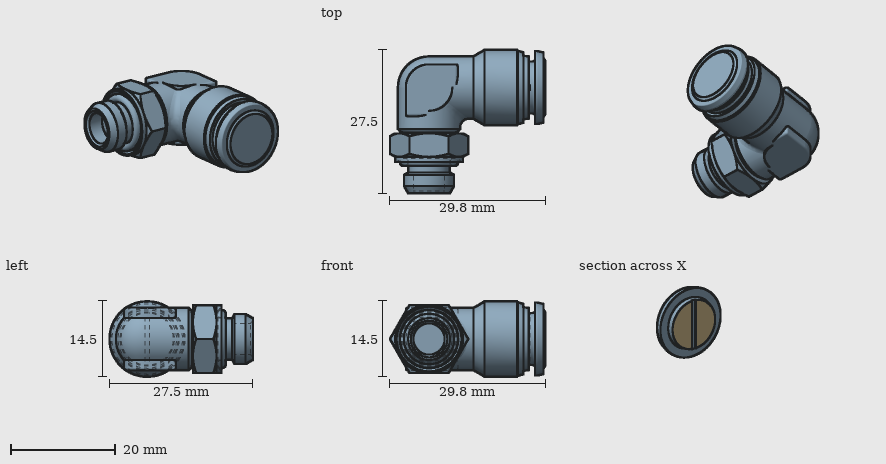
import cadquery as cq
import math


body_radius = 6.0
inner_corner_fillet = 1.5
fillet_zone_height = 11.0
neck_radius = 5.1
body_foot_radius = 5.4
body_foot_start = 7.9
body_foot_end = 8.55

pad_half_width = 4.45
pad_reach = 5.5
pad_edge_fillet = 0.45

hex_sides = 6
hex_across_flats = 13.0
hex_start = 8.75
hex_end = 13.25
hex_chamfer_angle = 30.0
flange_radius = hex_across_flats / 2
flange_end = 14.25
recess_radius = 6.2
recess_floor_radius = 5.5
recess_depth = 0.7
seal_section_radius = 0.8

relief_radius = 4.0
thread_radius = 4.82
thread_start = 16.25
thread_full = 16.7
thread_tip_start = 18.8
stud_end = 20.25
stud_tip_radius = 4.0
bore_radius = 3.0
bore_mouth_radius = 3.5
bore_mouth_depth = 0.5
bore_depth = 3.5

sleeve_radius = 7.25
sleeve_cone_start = 8.5
sleeve_cone_end = 10.65
sleeve_end = 16.8
cap_start = 17.0
cap_end = 18.05
cap_start_radius = 7.05
cap_end_radius = 6.75
ring_end = 19.1
ring_start_radius = 6.1
ring_end_radius = 6.0
ring_end_chamfer = 0.1

collar_neck_radius = 5.0
collar_cove = 0.45
collar_cove_rise = 0.2
collar_start = 20.25
collar_full_end = 20.8
collar_rim_end = 21.9
collar_rim_round = 0.15
collar_radius = 7.0
collar_rim_radius = 6.77
collar_cone_radius = 5.6
collar_end = 22.3
slit_width = 0.85
slit_end = 19.3


def turned_on_x(outline):
    """Close an (x, radius) outline and revolve it about the X axis."""
    return outline.close().revolve(360, (0, 0, 0), (1, 0, 0))


def turned_on_y(stations):
    """Revolve (radius, distance) stations about the Y axis, distance counted toward -Y."""
    points = [(radius, -distance) for radius, distance in stations]
    return cq.Workplane("XY").polyline(points).close().revolve(360, (0, 0, 0), (0, 1, 0))


def make_elbow():
    tube_leg = cq.Workplane("YZ").circle(body_radius).extrude(sleeve_cone_start)
    stud_leg = cq.Workplane("XZ").circle(body_radius).extrude(body_foot_start)
    legs = tube_leg.union(stud_leg)

    slice_size = 4 * body_radius
    fillet_zone = cq.Workplane("XY").box(slice_size, slice_size, fillet_zone_height)
    meeting_edges = cq.selectors.BoxSelector(
        (body_radius / 2, -body_radius / 2, -body_radius),
        (body_radius, -body_radius, body_radius),
    )
    rounded = legs.intersect(fillet_zone).edges(meeting_edges).fillet(inner_corner_fillet)

    ball = cq.Workplane("XY").sphere(body_radius)
    return legs.union(rounded).union(ball)


def make_pads():
    """One block through the elbow whose two ends are the flat pads."""
    diagonal = pad_half_width * math.sqrt(0.5)
    block = (
        cq.Workplane("XY", origin=(0, 0, -body_radius))
        .moveTo(-pad_half_width, 0)
        .threePointArc((-diagonal, diagonal), (0, pad_half_width))
        .lineTo(pad_reach, pad_half_width)
        .lineTo(pad_reach, 0)
        .lineTo(pad_half_width, 0)
        .threePointArc((diagonal, -diagonal), (0, -pad_half_width))
        .lineTo(0, -pad_reach)
        .lineTo(-pad_half_width, -pad_reach)
        .close()
        .extrude(2 * body_radius)
    )
    for corner in [(pad_reach, pad_half_width, 0), (-pad_half_width, -pad_reach, 0)]:
        block = block.edges(cq.selectors.NearestToPointSelector(corner)).fillet(pad_edge_fillet)
    for z in (-body_radius, body_radius):
        rim = cq.selectors.NearestToPointSelector((-diagonal, diagonal, z))
        block = block.edges(rim).fillet(pad_edge_fillet)
    return block


def make_neck():
    return turned_on_y([
        (0, body_foot_start),
        (body_radius, body_foot_start),
        (body_foot_radius, body_foot_end),
        (neck_radius, body_foot_end),
        (neck_radius, hex_start),
        (0, hex_start),
    ])


def make_hex():
    across_corners = hex_across_flats / math.cos(math.radians(180 / hex_sides))
    corner_radius = across_corners / 2
    flat_radius = hex_across_flats / 2
    chamfer = (corner_radius - flat_radius) * math.tan(math.radians(hex_chamfer_angle))
    prism = (
        cq.Workplane("XZ", origin=(0, -hex_start, 0))
        .polygon(hex_sides, across_corners)
        .extrude(hex_end - hex_start)
    )
    envelope = turned_on_y([
        (0, hex_start),
        (flat_radius, hex_start),
        (corner_radius, hex_start + chamfer),
        (corner_radius, hex_end - chamfer),
        (flat_radius, hex_end),
        (0, hex_end),
    ])
    return prism.intersect(envelope)


def make_stud():
    flange_and_thread = turned_on_y([
        (0, hex_end),
        (flange_radius, hex_end),
        (flange_radius, flange_end),
        (recess_radius, flange_end),
        (recess_floor_radius, flange_end - recess_depth),
        (relief_radius, flange_end - recess_depth),
        (relief_radius, thread_start),
        (thread_radius, thread_full),
        (thread_radius, thread_tip_start),
        (stud_tip_radius, stud_end),
        (0, stud_end),
    ])
    seal = cq.Workplane(
        cq.Solid.makeTorus(
            relief_radius + seal_section_radius,
            seal_section_radius,
            cq.Vector(0, -flange_end, 0),
            cq.Vector(0, 1, 0),
        )
    )
    return flange_and_thread.union(seal)


def make_bore():
    return turned_on_y([
        (0, stud_end),
        (bore_mouth_radius, stud_end),
        (bore_radius, stud_end - bore_mouth_depth),
        (bore_radius, stud_end - bore_depth),
        (0, stud_end - bore_depth),
    ])


def make_sleeve():
    return turned_on_x(
        cq.Workplane("XY").polyline([
            (sleeve_cone_start, 0),
            (sleeve_cone_start, body_radius),
            (sleeve_cone_end, sleeve_radius),
            (sleeve_end, sleeve_radius),
            (cap_start, cap_start_radius),
            (cap_end, cap_end_radius),
            (cap_end, ring_start_radius),
            (ring_end - ring_end_chamfer, ring_end_radius),
            (ring_end, ring_end_radius - ring_end_chamfer),
            (ring_end, 0),
        ])
    )


def make_collar():
    cove_start = collar_start - collar_cove
    collar = turned_on_x(
        cq.Workplane("XY")
        .moveTo(ring_end, 0)
        .lineTo(ring_end, collar_neck_radius)
        .lineTo(cove_start, collar_neck_radius)
        .tangentArcPoint((collar_start, collar_neck_radius + collar_cove_rise), relative=False)
        .lineTo(collar_start, collar_radius)
        .lineTo(collar_full_end, collar_radius)
        .lineTo(collar_rim_end - collar_rim_round, collar_rim_radius)
        .tangentArcPoint((collar_rim_end, collar_rim_radius - collar_rim_round), relative=False)
        .lineTo(collar_rim_end, collar_cone_radius)
        .lineTo(collar_end, collar_neck_radius)
        .lineTo(collar_end, 0)
    )
    slit_length = slit_end - ring_end
    slit = (
        cq.Workplane("XY")
        .box(slit_length, slit_width, 2 * sleeve_radius)
        .translate((ring_end + slit_length / 2, 0, 0))
    )
    return collar.cut(slit)


result = (
    make_elbow()
    .union(make_pads())
    .union(make_neck())
    .union(make_hex())
    .union(make_stud())
    .union(make_sleeve())
    .union(make_collar())
    .cut(make_bore())
)